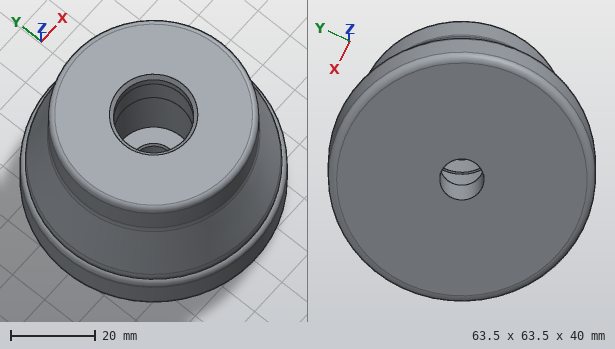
import cadquery as cq
import math

total_height = 40.0
base_radius = 31.75
neck_radius = 25.0
skirt_radius = 30.5

neck_edge_radius = 1.5
base_edge_radius = 2.0
shoulder_radius = 1.65
taper_blend_radius = 5.0

flange_side_top_z = 10.3
draft_band_height = 0.33
draft_angle = math.radians(2)

taper_bottom_z = 13.65
taper_top_z = 29.25

bore_radius = 9.5
bore_chamfer = 1.0
recess_radius = 10.0
recess_top_z = 28.5
recess_floor_z = 10.0
bolt_hole_radius = 5.25
bolt_hole_chamfer = 0.5

cover_thickness = 3.5
hub_radius = neck_radius - cover_thickness
hub_top_z = total_height - cover_thickness

band_top = (base_radius - draft_band_height * math.tan(draft_angle), flange_side_top_z + draft_band_height)
shoulder_centre_r = band_top[0] - shoulder_radius * math.cos(draft_angle)
shoulder_centre_z = band_top[1] - shoulder_radius * math.sin(draft_angle)
flange_top_z = shoulder_centre_z + shoulder_radius
shoulder_end = (shoulder_centre_r, flange_top_z)

skirt_reach = skirt_radius - shoulder_centre_r
skirt_foot = (skirt_radius, shoulder_centre_z + math.sqrt(shoulder_radius**2 - skirt_reach**2))

taper_angle = math.atan2(skirt_radius - neck_radius, taper_top_z - taper_bottom_z)
blend_length = taper_blend_radius * math.tan(taper_angle / 2)
blend_run_r = blend_length * math.sin(taper_angle)
blend_run_z = blend_length * math.cos(taper_angle)


def revolve_profile(profile):
    """Turn a closed (radius, z) profile on the XZ plane into a solid around Z."""
    return profile.close().revolve(360, (0, 0, 0), (0, 1, 0))


def make_core():
    """Base flange with a hub, bored from the top and drilled through for a bolt."""
    base_edge_end = (base_radius, base_edge_radius)
    profile = (
        cq.Workplane("XZ")
        .moveTo(bolt_hole_radius, 0)
        .lineTo(base_radius - base_edge_radius, 0)
        .radiusArc(base_edge_end, -base_edge_radius)
        .lineTo(base_radius, flange_side_top_z)
        .lineTo(*band_top)
        .radiusArc(shoulder_end, -shoulder_radius)
        .lineTo(hub_radius, flange_top_z)
        .lineTo(hub_radius, hub_top_z)
        .lineTo(bore_radius, hub_top_z)
        .lineTo(bore_radius, recess_top_z)
        .lineTo(recess_radius, recess_top_z)
        .lineTo(recess_radius, recess_floor_z)
        .lineTo(bolt_hole_radius + bolt_hole_chamfer, recess_floor_z)
        .lineTo(bolt_hole_radius, recess_floor_z - bolt_hole_chamfer)
    )
    return revolve_profile(profile)


def make_sleeve():
    """Tapered cover that sits on the flange and closes over the hub."""
    lower_blend_end = (skirt_radius - blend_run_r, taper_bottom_z + blend_run_z)
    upper_blend_start = (neck_radius + blend_run_r, taper_top_z - blend_run_z)
    upper_blend_end = (neck_radius, taper_top_z + blend_length)
    neck_edge_end = (neck_radius - neck_edge_radius, total_height)
    profile = (
        cq.Workplane("XZ")
        .moveTo(hub_radius, flange_top_z)
        .lineTo(*shoulder_end)
        .radiusArc(skirt_foot, shoulder_radius)
        .lineTo(skirt_radius, taper_bottom_z - blend_length)
        .radiusArc(lower_blend_end, -taper_blend_radius)
        .lineTo(*upper_blend_start)
        .radiusArc(upper_blend_end, taper_blend_radius)
        .lineTo(neck_radius, total_height - neck_edge_radius)
        .radiusArc(neck_edge_end, -neck_edge_radius)
        .lineTo(bore_radius + bore_chamfer, total_height)
        .lineTo(bore_radius, total_height - bore_chamfer)
        .lineTo(bore_radius, hub_top_z)
        .lineTo(hub_radius, hub_top_z)
    )
    return revolve_profile(profile)


core = make_core()
sleeve = make_sleeve()

result = cq.Compound.makeCompound([core.val(), sleeve.val()])